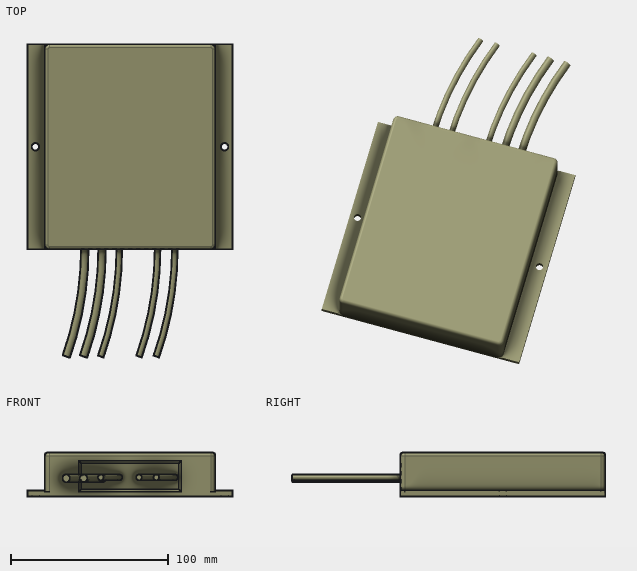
import cadquery as cq
import math

plate_width = 130.0
plate_depth = 130.0
flange_thickness = 4.0
mount_hole_diameter = 4.5
mount_hole_spacing = 119.9

housing_width = 108.1
total_height = 28.0
corner_base_height = 3.0
corner_radius = 3.0
top_edge_radius = 2.0

recess_width = 65.2
recess_bottom = 3.0
recess_top = 22.9
recess_depth = 0.5
recess_wall_inset = 1.8

thick_cable_diameter = 5.0
thin_cable_diameter = 3.8
cable_top = 14.1
cable_pitch = 11.0
left_cable_x = -28.6
right_cable_x = 28.5
overall_depth = 198.8
cable_bend_angle = math.radians(19.5)

front_y = -plate_depth / 2
recess_floor_y = front_y + recess_depth
cable_end_drop = thick_cable_diameter / 2 * math.sin(cable_bend_angle)
cable_end_y = plate_depth / 2 - overall_depth + cable_end_drop
cable_bend_radius = (recess_floor_y - cable_end_y) / math.sin(cable_bend_angle)


def make_plate():
    """Rectangular plate with one mounting hole in each side flange."""
    plate = cq.Workplane("XY").box(plate_width, plate_depth, flange_thickness, centered=(True, True, False))
    hole_places = [(-mount_hole_spacing / 2, 0), (mount_hole_spacing / 2, 0)]
    return plate.faces(">Z").workplane().pushPoints(hole_places).hole(mount_hole_diameter)


def make_housing():
    """Rounded block whose corner rounding starts a little above the bottom."""
    return (
        cq.Workplane("XY")
        .workplane(offset=corner_base_height)
        .rect(housing_width, plate_depth)
        .extrude(total_height - corner_base_height)
        .edges("|Z")
        .fillet(corner_radius)
        .faces(">Z")
        .edges()
        .fillet(top_edge_radius)
    )


def make_corner_clearance():
    """Housing footprint of the plate that is lowered to where the corner rounding starts."""
    return (
        cq.Workplane("XY")
        .workplane(offset=corner_base_height)
        .rect(housing_width, plate_depth)
        .extrude(flange_thickness - corner_base_height)
    )


def make_recess():
    """Tapered pocket that narrows from the front wall to its floor."""
    recess_height = recess_top - recess_bottom
    recess_middle_z = (recess_top + recess_bottom) / 2
    return (
        cq.Workplane("XZ", origin=(0, front_y, recess_middle_z))
        .rect(recess_width, recess_height)
        .workplane(offset=-recess_depth)
        .rect(recess_width - 2 * recess_wall_inset, recess_height - 2 * recess_wall_inset)
        .loft(ruled=True)
    )


def make_cable(start_x, diameter):
    """Round cable leaving the recess floor square and curving toward -X."""
    center_z = cable_top - diameter / 2

    def arc_point(angle):
        shift = cable_bend_radius * (1 - math.cos(angle))
        return (start_x - shift, recess_floor_y - cable_bend_radius * math.sin(angle))

    path = (
        cq.Workplane("XY", origin=(0, 0, center_z))
        .moveTo(start_x, recess_floor_y)
        .threePointArc(arc_point(cable_bend_angle / 2), arc_point(cable_bend_angle))
    )
    return cq.Workplane("XZ", origin=(start_x, recess_floor_y, center_z)).circle(diameter / 2).sweep(path)


cables = [
    (left_cable_x, thick_cable_diameter),
    (left_cable_x + cable_pitch, thick_cable_diameter),
    (left_cable_x + 2 * cable_pitch, thin_cable_diameter),
    (right_cable_x - cable_pitch, thin_cable_diameter),
    (right_cable_x, thin_cable_diameter),
]

result = make_plate().cut(make_corner_clearance()).union(make_housing()).cut(make_recess())
for cable_x, cable_diameter in cables:
    result = result.union(make_cable(cable_x, cable_diameter))